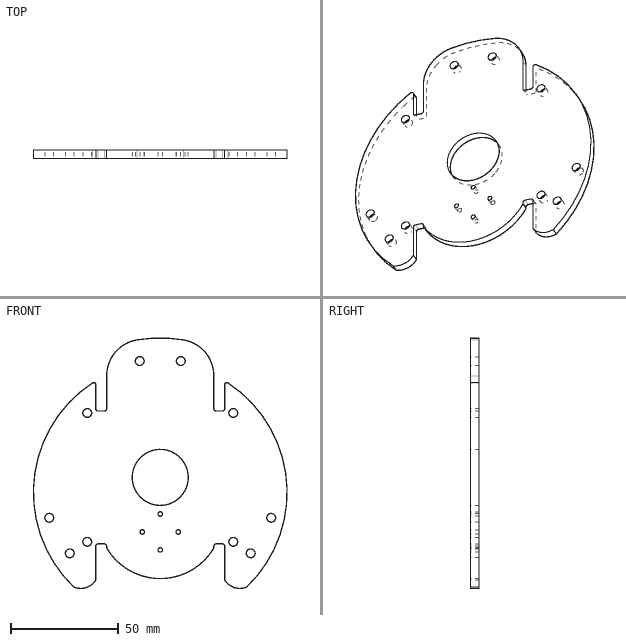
import cadquery as cq
import math

thickness = 4.0
back_face_origin = (0, thickness / 2, 0)

head_half_width = 25.0
crown_radius = 65.0
head_corner_radius = 17.0

slot_outer_x = 30.0
slot_end_z = 31.0
slot_corner_radius = 1.0

wing_radius = 61.0
wing_half_width = 59.12
wing_center_z = -7.0
wing_tip_radius = 1.0

foot_outer_x = 40.2
foot_bottom_x = 36.9
foot_bottom_z = -51.77
foot_inner_z = -47.85

belly_radius = 29.0
belly_bottom_z = -47.2

center_hole_diameter = 26.0
mount_hole_diameter = 4.0
rim_hole_circle_radius = 55.0
rim_hole_angles = (80.0, -20.0, -40.0)
slot_hole_x = 34.0
slot_hole_z = 30.0
small_hole_diameter = 2.0
small_hole_count = 4
small_hole_circle_radius = 8.35
small_hole_circle_z = -25.4


def point_on_circle(center, radius, angle):
    """Point at an angle in radians, measured from +X towards +Z."""
    return (center[0] + radius * math.cos(angle), center[1] + radius * math.sin(angle))


def half_outline():
    """Plate outline on the +X side, closed along the symmetry plane."""
    corner_x = head_half_width - head_corner_radius
    corner_center_distance = crown_radius - head_corner_radius
    crown_end_angle = math.acos(corner_x / corner_center_distance)
    corner_center = point_on_circle((0, 0), corner_center_distance, crown_end_angle)
    crown_end = point_on_circle((0, 0), crown_radius, crown_end_angle)
    crown_mid = point_on_circle((0, 0), crown_radius, (crown_end_angle + math.pi / 2) / 2)
    corner_mid = point_on_circle(corner_center, head_corner_radius, crown_end_angle / 2)

    wing_center = (wing_half_width - wing_radius, wing_center_z)
    tip_angle = math.acos((slot_outer_x - wing_center[0]) / wing_radius)
    foot_angle = -math.acos((foot_outer_x - wing_center[0]) / wing_radius)
    wing_tip = point_on_circle(wing_center, wing_radius, tip_angle)
    wing_mid = point_on_circle(wing_center, wing_radius, 0)
    wing_end = point_on_circle(wing_center, wing_radius, foot_angle)

    belly_center = (0, belly_bottom_z + belly_radius)
    belly_angle = -math.acos(head_half_width / belly_radius)
    belly_start = point_on_circle(belly_center, belly_radius, belly_angle)
    belly_mid = point_on_circle(belly_center, belly_radius, (belly_angle - math.pi / 2) / 2)

    return (
        cq.Workplane("XZ", origin=back_face_origin)
        .moveTo(0, crown_radius)
        .threePointArc(crown_mid, crown_end)
        .threePointArc(corner_mid, (head_half_width, corner_center[1]))
        .lineTo(head_half_width, slot_end_z)
        .lineTo(slot_outer_x, slot_end_z)
        .lineTo(*wing_tip)
        .threePointArc(wing_mid, wing_end)
        .threePointArc((foot_bottom_x, foot_bottom_z), (slot_outer_x, foot_inner_z))
        .lineTo(slot_outer_x, -slot_end_z)
        .lineTo(head_half_width, -slot_end_z)
        .lineTo(*belly_start)
        .threePointArc(belly_mid, (0, belly_bottom_z))
        .close()
    )


def edges_through_thickness(plate, x_range, z_range):
    """Edges along Y whose position lies within the given X and Z ranges."""
    half_thickness = thickness / 2
    box = cq.selectors.BoxSelector(
        (x_range[0], -half_thickness, z_range[0]),
        (x_range[1], half_thickness, z_range[1]),
    )
    return plate.edges("|Y").edges(box)


def make_plate():
    """Solid plate with rounded slot ends and wing tips, without holes."""
    half = half_outline().extrude(thickness)

    margin = slot_corner_radius / 2
    slot_x_range = (head_half_width - margin, slot_outer_x + margin)
    for end_z in (slot_end_z, -slot_end_z):
        slot_z_range = (end_z - margin, end_z + margin)
        half = edges_through_thickness(half, slot_x_range, slot_z_range).fillet(slot_corner_radius)

    tip_x_range = (slot_outer_x - margin, slot_outer_x + margin)
    tip_z_range = (slot_end_z + margin, crown_radius)
    half = edges_through_thickness(half, tip_x_range, tip_z_range).fillet(wing_tip_radius)

    return half.union(half.mirror("YZ"))


def mount_hole_points():
    """Mirrored rim holes and one hole beside each slot end."""
    right_points = [
        point_on_circle((0, 0), rim_hole_circle_radius, math.radians(angle))
        for angle in rim_hole_angles
    ]
    right_points += [(slot_hole_x, slot_hole_z), (slot_hole_x, -slot_hole_z)]
    return right_points + [(-x, z) for x, z in right_points]


def small_hole_points():
    """Evenly spaced holes on a circle below the centre hole."""
    step = 2 * math.pi / small_hole_count
    circle_center = (0, small_hole_circle_z)
    return [
        point_on_circle(circle_center, small_hole_circle_radius, step * index)
        for index in range(small_hole_count)
    ]


def cut_holes(plate, points, diameter):
    """Cut round through holes along Y."""
    sketch = cq.Workplane("XZ", origin=back_face_origin).pushPoints(points)
    cutter = sketch.circle(diameter / 2).extrude(thickness)
    return plate.cut(cutter)


result = make_plate()
result = cut_holes(result, [(0, 0)], center_hole_diameter)
result = cut_holes(result, mount_hole_points(), mount_hole_diameter)
result = cut_holes(result, small_hole_points(), small_hole_diameter)